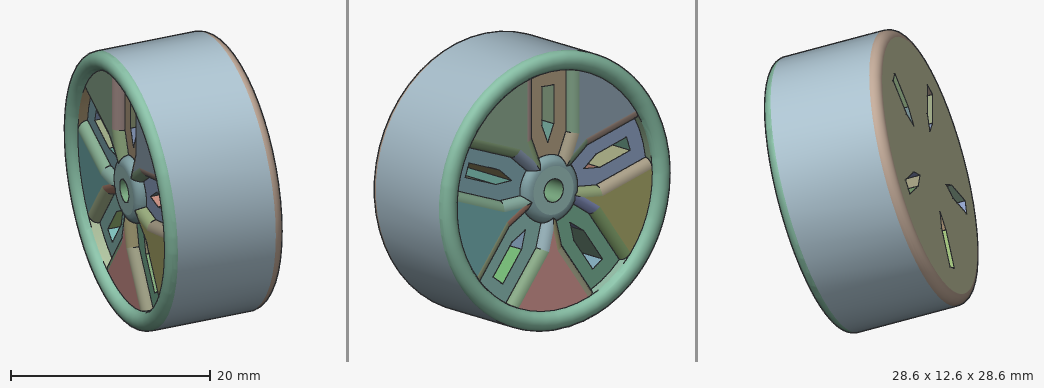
import cadquery as cq
import math

wheel_diameter = 28.65
wheel_width = 12.6
rim_width = 2.0
edge_radius = rim_width / 2

arm_count = 5
relief_depth = 1.0
channel_depth = 1.0
relief_radius = 0.999 * channel_depth
rim_overlap = 0.05
channel_half_width = 2.25
knee_height = 5.6

hub_radius = 3.5
bore_diameter = 2.4
bore_depth = 8.0

slot_half_width = 0.75
slot_outer_end = 10.6
slot_shoulder = 6.6
slot_tip = 4.75

wheel_radius = wheel_diameter / 2
recess_radius = wheel_radius - rim_width
front_y = -wheel_width / 2
relief_y = front_y + relief_depth
floor_y = relief_y + channel_depth
arm_pitch = 360 / arm_count


def plane_at(y):
    """XZ sketch plane at the given Y, with its normal towards -Y."""
    return cq.Workplane("XZ", origin=(0, y, 0))


def make_body():
    """Solid wheel with rounded edges and a fully rounded rim, recessed down to the channel floor."""
    arc_middle = edge_radius * math.sin(math.radians(45))
    rounding_y = front_y + edge_radius
    crest_radius = wheel_radius - edge_radius
    back_y = -front_y
    return (
        cq.Workplane("XY")
        .moveTo(0, floor_y)
        .lineTo(recess_radius, floor_y)
        .lineTo(recess_radius, rounding_y)
        .threePointArc((crest_radius, front_y), (wheel_radius, rounding_y))
        .lineTo(wheel_radius, back_y - edge_radius)
        .threePointArc(
            (crest_radius + arc_middle, back_y - edge_radius + arc_middle),
            (crest_radius, back_y),
        )
        .lineTo(0, back_y)
        .close()
        .revolve(360, (0, 0, 0), (0, 1, 0))
    )


def make_sector():
    """Raised sector between two channels, symmetric about +Z, with its point on the axis."""
    half_pitch = math.radians(arm_pitch / 2)

    def turned(across, along):
        """Place a channel edge point, given in its arm's frame, in the sector's frame."""
        x = along * math.sin(half_pitch) - across * math.cos(half_pitch)
        z = along * math.cos(half_pitch) + across * math.sin(half_pitch)
        return x, z

    knee_x, knee_z = turned(channel_half_width, knee_height)
    end_x, end_z = turned(channel_half_width, wheel_radius)
    outline = [(0, 0), (knee_x, knee_z), (end_x, end_z), (-end_x, end_z), (-knee_x, knee_z)]
    sector = plane_at(floor_y).polyline(outline).close().extrude(channel_depth)
    side_edges = sector.faces("<Y").edges("not >Z")
    sector = side_edges.fillet(relief_radius)
    disc = plane_at(floor_y).circle(recess_radius + rim_overlap).extrude(channel_depth)
    return sector.intersect(disc)


def make_hub():
    """Round hub whose top is level with the sectors."""
    hub = plane_at(floor_y).circle(hub_radius).extrude(channel_depth)
    return hub.faces("<Y").edges().fillet(relief_radius)


def make_slot():
    """Cutter for the pointed slot of the arm along +Z, tip towards the axis."""
    return (
        plane_at(-front_y)
        .moveTo(0, slot_tip)
        .lineTo(slot_half_width, slot_shoulder)
        .lineTo(slot_half_width, slot_outer_end)
        .lineTo(-slot_half_width, slot_outer_end)
        .lineTo(-slot_half_width, slot_shoulder)
        .close()
        .extrude(wheel_width)
    )


def make_bore():
    """Cutter for the blind axle bore, entering from the hub top."""
    return plane_at(relief_y + bore_depth).circle(bore_diameter / 2).extrude(bore_depth)


def around_axis(shape, angle):
    """Turn a shape about the wheel axis by an angle in degrees."""
    return shape.rotate((0, 0, 0), (0, 1, 0), angle)


sector = make_sector()
slot = make_slot()
result = make_body().union(make_hub())
for arm in range(arm_count):
    arm_angle = arm * arm_pitch
    result = result.union(around_axis(sector, arm_angle + arm_pitch / 2))
    result = result.cut(around_axis(slot, arm_angle))
result = result.cut(make_bore())